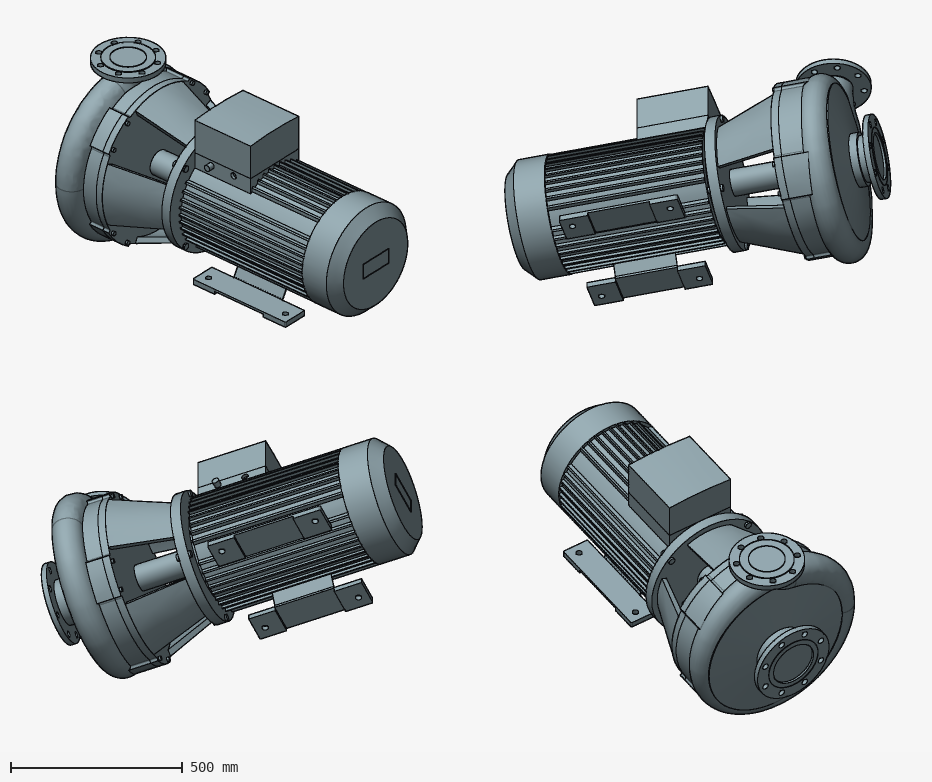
import cadquery as cq
import math


suction_face_x = -140.0
suction_flange_diameter = 250.0
suction_flange_thickness = 18.0
suction_pipe_diameter = 139.7
suction_collar_diameter = 159.7
suction_collar_x = -92.0
suction_pipe_recess = 7.0
suction_raised_diameter = 172.0
suction_raised_height = 1.5
suction_bolt_circle = 210.0
suction_bolt_hole = 19.0

discharge_face_z = 315.0
discharge_flange_diameter = 220.0
discharge_flange_thickness = 17.0
discharge_spigot_diameter = 107.1
discharge_pipe_recess = 2.0
discharge_raised_diameter = 159.7
discharge_raised_height = 3.0
discharge_bolt_circle = 180.0
discharge_bolt_hole = 18.0
discharge_flange_back_z = discharge_face_z - discharge_raised_height - discharge_flange_thickness
flange_bolt_count = 8

volute_outer_radius = 279.7
volute_offset_y = -17.9
volute_tube_radius = 47.0
volute_sweep_angle = 276.0
volute_ring_radius = volute_outer_radius - volute_tube_radius
neck_radius = 57.0
neck_middle_radius = 53.0
neck_arc_radius = 227.0
neck_end_z = 303.0
front_cone_edge_x = -47.0
front_cone_edge_radius = 233.0
front_cone_tip_x = -68.0

casing_radius = 253.0
casing_joint_x = 96.0
cover_back_x = 119.0
lug_radius = 262.0
lug_half_angle = 13.8
lug_fillet = 7.0
cover_bolt_diameter = 13.0
cover_bolt_height = 7.0
cover_bolt_circle_radius = 251.0
cover_bolt_spread_angle = 10.0

flange_front_x = 302.5
flange_back_x = 334.0
bracket_flange_diameter = 400.0
leg_wide_radius = 252.0
leg_narrow_radius = 181.0
leg_wide_thickness = 21.0
leg_narrow_thickness = 17.0
leg_half_angle = 24.7

motor_bolt_circle_radius = 189.0
motor_bolt_diameter = 13.0
motor_bolt_head_diameter = 20.0
motor_bolt_head_height = 7.0
motor_bolt_nut_height = 6.0
diagonal_angles = [45, 135, 225, 315]

motor_radius = 178.0
motor_spigot_radius = 138.0
motor_core_radius = 168.0
shaft_diameter = 80.0
fins_start_x = 349.0
cowl_start_x = 823.0
cowl_shoulder_x = 916.0
cowl_end_x = 952.0
cowl_end_radius = 143.0
fin_thickness = 5.0
fin_pitch = 24.6
fins_each_side = 4
end_plate_x = 954.0
end_plate_width = 114.0
end_plate_height = 50.0

box_end_x = 563.5
box_half_width = 107.0
box_bottom_z = 128.0
lid_joint_z = 182.0
lid_edge_z = 294.0
lid_crown_z = 299.0
gland_diameter = 20.0
gland_length = 20.0
gland_x = 413.0
gland_hole_x = 498.0
gland_z = 164.0
gland_hole_depth = 10.0

foot_start_x = 417.0
foot_end_x = 774.0
foot_outer_y = 195.0
foot_inner_y = 110.0
foot_top_z = -183.0
foot_plate_thickness = 8.0
foot_bottom_z = -201.0
web_start_x = 501.0
web_end_x = 687.5
web_thickness = 4.0
web_top_y = 88.0
web_top_z = -145.0
foot_hole_diameter = 18.0
foot_corner_radius = 4.0
foot_hole_inset_x = 31.0
foot_hole_y = 160.0


def cylinder_x(x_start, x_end, radius):
    """Solid cylinder on the shaft axis."""
    return cq.Workplane("YZ").workplane(offset=x_start).circle(radius).extrude(x_end - x_start)


def box_between(x0, x1, y0, y1, z0, z1):
    """Box given by its limits along X, Y and Z."""
    return cq.Workplane("XY").box(x1 - x0, y1 - y0, z1 - z0, centered=False).translate((x0, y0, z0))


def lugged_disc(x_start, x_end):
    """Disc with four raised bolting lugs on the diagonals, blended into the rim."""
    length = x_end - x_start
    disc = cylinder_x(x_start, x_end, casing_radius)
    half = math.radians(lug_half_angle)
    inner_radius = casing_radius / 2
    root_tolerance = 0.01
    for angle in diagonal_angles:
        middle = math.radians(angle)

        def polar(radius, turn):
            return radius * math.cos(middle + turn), radius * math.sin(middle + turn)

        lug = (
            cq.Workplane("YZ")
            .workplane(offset=x_start)
            .moveTo(*polar(inner_radius, -half))
            .lineTo(*polar(lug_radius, -half))
            .threePointArc(polar(lug_radius, 0), polar(lug_radius, half))
            .lineTo(*polar(inner_radius, half))
            .close()
            .extrude(length)
        )
        disc = disc.union(lug)

    def is_lug_root(edge):
        y, z = edge.Center().y, edge.Center().z
        on_rim = abs(math.hypot(y, z) - casing_radius) < root_tolerance
        from_diagonal = abs(math.atan2(z, y)) % (math.pi / 2) - math.pi / 4
        return on_rim and abs(abs(from_diagonal) - half) < root_tolerance

    roots = disc.edges("|X").filter(is_lug_root)
    return roots.fillet(lug_fillet)


def volute_ring():
    """Part of a torus, from the neck at its -Y side below the shaft and past +Y to the top."""
    tube = cq.Workplane("XY").center(0, volute_offset_y - volute_ring_radius).circle(volute_tube_radius)
    return tube.revolve(volute_sweep_angle, (-1, volute_ring_radius), (1, volute_ring_radius))


def circle_across(centre_yz, direction, radius):
    """Circle in the mid-plane x = 0 of the volute, square to the given direction."""
    plane = cq.Plane(origin=(0, *centre_yz), xDir=(1, 0, 0), normal=direction)
    return cq.Workplane(plane).circle(radius).wire().val()


def discharge_neck():
    """Tube leaving the ring at its -Y side, widening along the arc and bending up to the nozzle."""
    start_y = volute_offset_y - volute_ring_radius
    arc_centre_y = start_y + neck_arc_radius
    radius_sum = (neck_end_z**2 + start_y**2) / (-2 * start_y)
    bend_radius = radius_sum - neck_arc_radius
    tangent_angle = math.atan2(neck_end_z, -bend_radius - arc_centre_y)

    def on_arc(angle):
        return arc_centre_y + neck_arc_radius * math.cos(angle), neck_arc_radius * math.sin(angle)

    def on_bend(angle):
        return (
            -bend_radius + bend_radius * math.cos(angle),
            neck_end_z + bend_radius * math.sin(angle),
        )

    start = on_arc(math.pi)
    tangent = on_arc(tangent_angle)
    bend_turn = tangent_angle - math.pi
    arc_path = cq.Workplane("YZ").moveTo(*start).threePointArc(on_arc((math.pi + tangent_angle) / 2), tangent)
    bend_path = cq.Workplane("YZ").moveTo(*tangent).threePointArc(on_bend(bend_turn / 2), (0, neck_end_z))
    tangent_direction = (0, math.sin(tangent_angle), -math.cos(tangent_angle))
    first_circle = circle_across(start, (0, 0, 1), volute_tube_radius)
    middle_circle = circle_across(tangent, tangent_direction, neck_middle_radius)
    last_circle = circle_across((0, neck_end_z), (0, 0, 1), neck_radius)
    arc_tube = cq.Workplane(cq.Solid.sweep_multi([first_circle, middle_circle], arc_path.val()))
    bend_tube = cq.Workplane(cq.Solid.sweep_multi([middle_circle, last_circle], bend_path.val()))
    spigot = (
        cq.Workplane("XY")
        .workplane(offset=discharge_flange_back_z)
        .circle(discharge_spigot_diameter / 2)
        .extrude(discharge_face_z - discharge_pipe_recess - discharge_flange_back_z)
    )
    flange_space = (
        cq.Workplane("XY")
        .workplane(offset=discharge_flange_back_z)
        .circle(discharge_flange_diameter / 2)
        .extrude(discharge_flange_thickness)
    )
    return arc_tube.union(bend_tube).cut(flange_space).union(spigot)


def volute_casing():
    """Suction pipe, conical front, ring, lugged rear and discharge neck as one casting."""
    tip_radius = suction_collar_diameter / 2
    pipe_radius = suction_pipe_diameter / 2
    core = (
        cq.Workplane("XY")
        .moveTo(suction_face_x + suction_pipe_recess, 0)
        .lineTo(suction_face_x + suction_pipe_recess, pipe_radius)
        .lineTo(suction_collar_x, pipe_radius)
        .lineTo(suction_collar_x, tip_radius)
        .lineTo(front_cone_tip_x, tip_radius)
        .lineTo(front_cone_edge_x, front_cone_edge_radius)
        .lineTo(0, front_cone_edge_radius)
        .lineTo(0, 0)
        .close()
        .revolve(360, (0, 0), (1, 0))
    )
    return lugged_disc(0, casing_joint_x).union(core).union(volute_ring()).union(discharge_neck())


def pipe_flange(diameter, thickness, raised_diameter, raised_height, bore, bolt_circle, bolt_hole):
    """Drilled flange with a raised face, sitting on the XY plane and facing +Z."""
    flange = cq.Workplane("XY").circle(diameter / 2).extrude(thickness)
    flange = flange.union(
        cq.Workplane("XY").workplane(offset=thickness).circle(raised_diameter / 2).extrude(raised_height)
    )
    total = thickness + raised_height
    bolt_holes = (
        cq.Workplane("XY")
        .polarArray(bolt_circle / 2, 180 / flange_bolt_count, 360, flange_bolt_count)
        .circle(bolt_hole / 2)
        .extrude(total)
    )
    return flange.cut(bolt_holes).cut(cq.Workplane("XY").circle(bore / 2).extrude(total))


def suction_flange():
    """Flange around the suction pipe, facing -X."""
    flange = pipe_flange(
        suction_flange_diameter, suction_flange_thickness - suction_raised_height, suction_raised_diameter,
        suction_raised_height, suction_pipe_diameter, suction_bolt_circle, suction_bolt_hole,
    )
    back_x = suction_face_x + suction_flange_thickness
    return flange.rotate((0, 0, 0), (0, 1, 0), -90).translate((back_x, 0, 0))


def discharge_flange():
    """Flange around the discharge spigot, facing +Z."""
    flange = pipe_flange(
        discharge_flange_diameter, discharge_flange_thickness, discharge_raised_diameter,
        discharge_raised_height, discharge_spigot_diameter, discharge_bolt_circle, discharge_bolt_hole,
    )
    return flange.translate((0, 0, discharge_flange_back_z))


def bracket_leg():
    """Sector of a conical shell reaching from the cover to the motor flange, on the +Y side."""
    return (
        cq.Workplane("XY")
        .moveTo(cover_back_x, leg_wide_radius)
        .lineTo(flange_front_x, leg_narrow_radius)
        .lineTo(flange_front_x, leg_narrow_radius - leg_narrow_thickness)
        .lineTo(cover_back_x, leg_wide_radius - leg_wide_thickness)
        .close()
        .revolve(2 * leg_half_angle, (0, 0), (1, 0))
        .rotate((0, 0, 0), (1, 0, 0), -leg_half_angle)
    )


def bracket():
    """Cover with its bolt heads, four legs and the flange that carries the motor."""
    body = lugged_disc(casing_joint_x, cover_back_x)
    body = body.union(cylinder_x(flange_front_x, flange_back_x, bracket_flange_diameter / 2))
    leg = bracket_leg()
    for angle in (0, 90, 180, 270):
        body = body.union(leg.rotate((0, 0, 0), (1, 0, 0), angle))
    cover_bolt_head = cylinder_x(
        cover_back_x, cover_back_x + cover_bolt_height, cover_bolt_diameter / 2
    ).translate((0, cover_bolt_circle_radius, 0))
    for angle in diagonal_angles:
        for spread in (-cover_bolt_spread_angle, cover_bolt_spread_angle):
            body = body.union(cover_bolt_head.rotate((0, 0, 0), (1, 0, 0), angle + spread))
    body = body.cut(cylinder_x(flange_front_x, flange_back_x, shaft_diameter / 2))
    for bolt in motor_bolts():
        body = body.cut(bolt)
    return body


def motor_bolts():
    """Four bolts through the bracket flange, each with its head and nut."""
    head_radius = motor_bolt_head_diameter / 2
    bolt = cylinder_x(flange_front_x, flange_back_x, motor_bolt_diameter / 2)
    bolt = bolt.union(cylinder_x(flange_front_x - motor_bolt_head_height, flange_front_x, head_radius))
    bolt = bolt.union(cylinder_x(flange_back_x, flange_back_x + motor_bolt_nut_height, head_radius))
    bolt = bolt.translate((0, motor_bolt_circle_radius, 0))
    return [bolt.rotate((0, 0, 0), (1, 0, 0), angle) for angle in diagonal_angles]


def finned_frame():
    """Round motor core with level fins on its sides and upright fins above and below."""
    reach = motor_radius
    fins = cq.Workplane("XY")
    for index in range(-fins_each_side, fins_each_side + 1):
        low = index * fin_pitch - fin_thickness / 2
        high = low + fin_thickness
        level = box_between(fins_start_x, cowl_start_x, -reach, reach, low, high)
        upright = box_between(fins_start_x, cowl_start_x, low, high, -reach, reach)
        fins = fins.add(level).add(upright)
    fins = fins.combine().intersect(cylinder_x(fins_start_x, cowl_start_x, motor_radius))
    return cylinder_x(fins_start_x, cowl_start_x, motor_core_radius).union(fins)


def fan_cowl():
    """Round cowl with a tapered end."""
    return (
        cq.Workplane("XY")
        .moveTo(cowl_start_x, 0)
        .lineTo(cowl_start_x, motor_radius)
        .lineTo(cowl_shoulder_x, motor_radius)
        .lineTo(cowl_end_x, cowl_end_radius)
        .lineTo(cowl_end_x, 0)
        .close()
        .revolve(360, (0, 0), (1, 0))
    )


def foot():
    """Foot on the +Y side: a plate on two end pads, hung from a sloping web."""
    plate_bottom_z = foot_top_z - foot_plate_thickness
    plate = box_between(foot_start_x, foot_end_x, foot_inner_y, foot_outer_y, foot_bottom_z, foot_top_z)
    plate = plate.cut(
        box_between(web_start_x, web_end_x, foot_inner_y, foot_outer_y, foot_bottom_z, plate_bottom_z)
    )
    plate = plate.edges("|Z and >Y").edges("<X or >X").fillet(foot_corner_radius)
    web = (
        cq.Workplane("YZ")
        .workplane(offset=web_start_x)
        .moveTo(foot_inner_y - web_thickness, plate_bottom_z)
        .lineTo(foot_inner_y, plate_bottom_z)
        .lineTo(foot_inner_y, foot_top_z)
        .lineTo(web_top_y, web_top_z)
        .lineTo(web_top_y - web_thickness, web_top_z)
        .lineTo(foot_inner_y - web_thickness, foot_top_z)
        .close()
        .extrude(web_end_x - web_start_x)
    )
    first_hole_x = foot_start_x + foot_hole_inset_x
    last_hole_x = foot_end_x - foot_hole_inset_x
    holes = (
        cq.Workplane("XY")
        .workplane(offset=foot_bottom_z)
        .pushPoints([(first_hole_x, foot_hole_y), (last_hole_x, foot_hole_y)])
        .circle(foot_hole_diameter / 2)
        .extrude(foot_top_z - foot_bottom_z)
    )
    return plate.cut(holes).union(web)


def terminal_base():
    """Lower part of the terminal box, with a cable gland and a second cable entry."""
    base = box_between(
        fins_start_x, box_end_x, -box_half_width, box_half_width, box_bottom_z, lid_joint_z
    )
    side = cq.Workplane("XZ").workplane(offset=box_half_width)
    gland = side.center(gland_x, gland_z).circle(gland_diameter / 2).extrude(gland_length)
    entry = side.center(gland_hole_x, gland_z).circle(gland_diameter / 2).extrude(-gland_hole_depth)
    return base.union(gland).cut(entry)


def motor():
    """Motor with its shaft, spigot, fan cowl, terminal box base and two feet."""
    body = finned_frame().union(fan_cowl()).union(terminal_base())
    body = body.union(cylinder_x(flange_back_x, fins_start_x, motor_spigot_radius))
    body = body.union(cylinder_x(cover_back_x, fins_start_x, shaft_diameter / 2))
    plate_y = end_plate_width / 2
    plate_z = end_plate_height / 2
    body = body.union(box_between(cowl_end_x, end_plate_x, -plate_y, plate_y, -plate_z, plate_z))
    left_foot = foot()
    return body.union(left_foot).union(left_foot.mirror("XZ"))


def terminal_lid():
    """Lid of the terminal box with a slightly arched top."""
    return (
        cq.Workplane("YZ")
        .workplane(offset=fins_start_x)
        .moveTo(-box_half_width, lid_joint_z)
        .lineTo(-box_half_width, lid_edge_z)
        .threePointArc((0, lid_crown_z), (box_half_width, lid_edge_z))
        .lineTo(box_half_width, lid_joint_z)
        .close()
        .extrude(box_end_x - fins_start_x)
    )


result = cq.Compound.makeCompound(
    [
        volute_casing().solids().val(),
        suction_flange().solids().val(),
        discharge_flange().solids().val(),
        bracket().solids().val(),
        *[bolt.solids().val() for bolt in motor_bolts()],
        motor().solids().val(),
        terminal_lid().solids().val(),
    ]
)